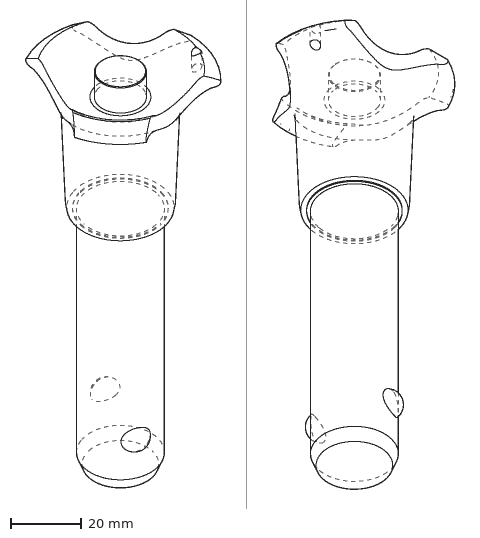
import cadquery as cq
import math


shank_radius = 12.5
shank_length = 92.4
tip_chamfer_length = 4.2
tip_chamfer_width = 1.6

ball_radius = 4.6
ball_protrusion = 2.75
ball_height_above_tip = 18.0

handle_height = 50.3
collar_radius = 13.6
collar_height = 0.4
sleeve_bottom_radius = 15.25
sleeve_band_radius = 15.7
sleeve_band_height = 3.0
sleeve_neck_radius = 16.9
neck_depth = 14.8

flange_radius = 28.54
flange_thickness = 5.3
rim_cone_depth = 3.3
rim_cone_radius = 28.25
rim_widest_depth = 3.9
rim_round_radius = flange_thickness - rim_widest_depth
flare_top_radius = 25.6
flare_mid_radius = 19.5
flare_mid_depth = 9.0
flange_top_radius = 23.9

bowl_radius = 22.0
lip_depth = 0.95
lip_round_radius = 2.5
bowl_mid_radius = 18.2
bowl_mid_depth = 4.7
bowl_floor_radius = 8.65
bowl_depth = 9.9

button_radius = 7.4
button_recess = 0.6
button_chamfer = 0.25

scallop_depth_radius = 18.2
scallops = [(30, 34.7), (150, 34.7), (270, 55.0)]

lanyard_hole_diameter = 3.0
lanyard_hole_offset = 23.3


def make_handle():
    """Revolve the sleeve, flare, flange and bowl as one profile."""
    top = handle_height
    profile = (
        cq.Workplane("XZ")
        .lineTo(collar_radius, 0)
        .lineTo(collar_radius, collar_height)
        .lineTo(sleeve_bottom_radius, collar_height)
        .lineTo(sleeve_band_radius, sleeve_band_height)
        .lineTo(sleeve_neck_radius, top - neck_depth)
        .threePointArc(
            (flare_mid_radius, top - flare_mid_depth),
            (flare_top_radius, top - flange_thickness),
        )
        .lineTo(flange_radius - rim_round_radius, top - flange_thickness)
        .radiusArc((flange_radius, top - rim_widest_depth), -rim_round_radius)
        .tangentArcPoint((rim_cone_radius, top - rim_cone_depth), relative=False)
        .lineTo(flange_top_radius, top)
        .radiusArc((bowl_radius, top - lip_depth), -lip_round_radius)
        .threePointArc(
            (bowl_mid_radius, top - bowl_mid_depth),
            (bowl_floor_radius, top - bowl_depth),
        )
        .lineTo(0, top - bowl_depth)
        .close()
    )
    return profile.revolve(360, (0, 0, 0), (0, 1, 0))


def make_scallop(direction, radius):
    """Vertical cylinder that cuts one finger scallop between two lobes."""
    distance = scallop_depth_radius + radius
    angle = math.radians(direction)
    return (
        cq.Workplane("XY")
        .center(distance * math.cos(angle), distance * math.sin(angle))
        .circle(radius)
        .extrude(handle_height)
    )


def make_lanyard_hole():
    return (
        cq.Workplane("XY")
        .center(0, lanyard_hole_offset)
        .circle(lanyard_hole_diameter / 2)
        .extrude(handle_height)
    )


def make_button():
    floor = handle_height - bowl_depth
    return (
        cq.Workplane("XY", origin=(0, 0, floor))
        .circle(button_radius)
        .extrude(bowl_depth - button_recess)
        .faces(">Z")
        .chamfer(button_chamfer)
    )


def make_shank():
    return (
        cq.Workplane("XY")
        .circle(shank_radius)
        .extrude(-shank_length)
        .faces("<Z")
        .chamfer(tip_chamfer_length, tip_chamfer_width)
    )


def make_ball(side):
    """Locking ball on the +X (side = 1) or -X (side = -1) face of the shank."""
    offset = shank_radius + ball_protrusion - ball_radius
    height = ball_height_above_tip - shank_length
    return cq.Workplane("XY", origin=(side * offset, 0, height)).sphere(ball_radius)


handle = make_handle()
for scallop_direction, scallop_radius in scallops:
    handle = handle.cut(make_scallop(scallop_direction, scallop_radius))
handle = handle.cut(make_lanyard_hole())

result = handle.union(make_button()).union(make_shank())
for ball_side in (-1, 1):
    result = result.union(make_ball(ball_side))